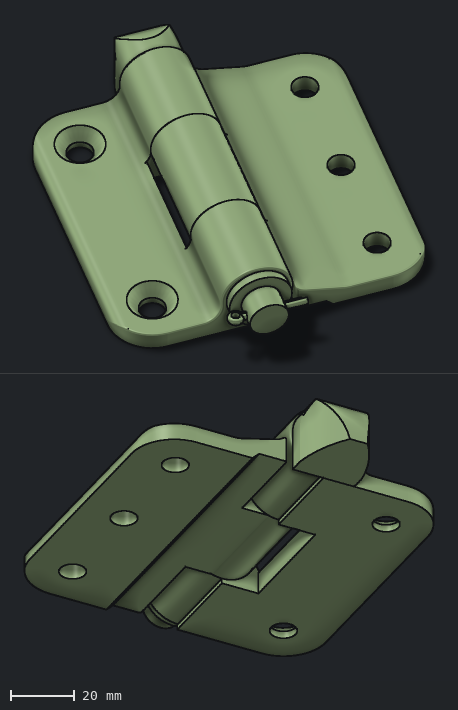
import cadquery as cq
import math

AXIS_Z = 13.6
PIN_RADIUS = 6.5
KNUCKLE_RADIUS = 11.9

LEAF_LENGTH = 99.6
LEAF_HALF = LEAF_LENGTH / 2
LEAF_THICKNESS = 6.3
LEAF_CORNER_RADIUS = 15.0
OUTER_EDGE_RADIUS = 4.0
END_EDGE_RADIUS = 0.8
END_ZONE_LENGTH = 10.8
KNUCKLE_FILLET = 6.0
FRONT_EDGE_Y = -45.0
REAR_EDGE_Y = 60.1
TONGUE_HALF = 19.3
WALL_EDGE_RADIUS = 0.4
CLEARANCE_Y = 13.0

RAMP_ANGLE = math.radians(15)
RAMP_FOOT_Y = 30.0
RAMP_FOOT_RADIUS = 9.5
UNDERSIDE_Z = 2.3
UNDERSIDE_CHAMFER_Y = 25.1

HOLE_RADIUS = 4.3
HOLE_SPACING = 35.0
REAR_HOLE_Y = 44.8
FRONT_HOLE_Y = -30.0
COUNTERSINK_RADIUS = 8.1
COUNTERSINK_ANGLE = 90

HEAD_TIP_X = -73.8
PIN_END_X = HEAD_TIP_X + 135
HEAD_SHOULDER_X = -55.0
HEAD_HALF_WIDTH = 11.0
HEAD_TOP_Z = 24.5
HEAD_TOP_RADIUS = 10.4
HEAD_TIP_HALF_WIDTH = 3.1
HEAD_BOW_X = -62.4
HEAD_BOW_HALF_WIDTH = 9.2
HEAD_BOW_Z = 19.7

WASHER_RADIUS = 10.4
WASHER_THICKNESS = 3.0

COTTER_X = 57.1
COTTER_RADIUS = 1.4
COTTER_EYE_Y = -9.9
COTTER_EYE_INNER_RADIUS = 1.4
COTTER_SLIT = 0.1
COTTER_SHORT_END_Y = 12.2
COTTER_LONG_END_Y = 13.9


def box_between(x0, x1, y0, y1, z0, z1):
    return cq.Workplane("XY").box(x1 - x0, y1 - y0, z1 - z0, centered=False).translate((x0, y0, z0))


def rod_along_x(radius, x0, x1):
    return cq.Workplane("YZ", origin=(x0, 0, AXIS_Z)).circle(radius).extrude(x1 - x0)


def rod_along_y(radius, y0, y1):
    return cq.Workplane("XZ", origin=(COTTER_X, y0, AXIS_Z)).circle(radius).extrude(y0 - y1)



def leaf_profile(y, z):
    """Start a leaf cross-section on the -X end face."""
    return cq.Workplane("YZ", origin=(-LEAF_HALF, 0, 0)).moveTo(y, z)


def toward_axis(y, z):
    """Point where a blend arc centred at (y, z) touches the knuckle."""
    share = KNUCKLE_RADIUS / (KNUCKLE_RADIUS + KNUCKLE_FILLET)
    return y * share, AXIS_Z + (z - AXIS_Z) * share


def round_outline(leaf, edge_y, inner_y, outer_side):
    """Round the leaf's two outer corners in plan, then its top edges along both ends."""
    plan = box_between(-LEAF_HALF, LEAF_HALF, min(edge_y, inner_y), max(edge_y, inner_y), 0, 2 * AXIS_Z)
    leaf = leaf.intersect(plan.faces(outer_side).edges("|Z").fillet(LEAF_CORNER_RADIUS))
    for end in (-1, 1):
        end_region = cq.selectors.BoxSelector(
            (end * (LEAF_HALF - END_ZONE_LENGTH), -LEAF_LENGTH, LEAF_THICKNESS / 2),
            (end * LEAF_LENGTH, LEAF_LENGTH, 2 * AXIS_Z),
        )
        leaf = leaf.edges("not |Z").edges(end_region).fillet(END_EDGE_RADIUS)
    return leaf


def round_wall_top(leaf, x_start, x_end, wall_y):
    """Round the top edge of the wall at wall_y; the edge's middle lies between the two X values."""
    wall_region = cq.selectors.BoxSelector(
        (x_start, wall_y - WALL_EDGE_RADIUS, UNDERSIDE_Z + WALL_EDGE_RADIUS),
        (x_end, wall_y + WALL_EDGE_RADIUS, AXIS_Z),
    )
    return leaf.edges("|X").edges(wall_region).fillet(WALL_EDGE_RADIUS)


def pin_bore():
    return rod_along_x(PIN_RADIUS, -LEAF_HALF, LEAF_HALF)



def make_front_leaf():
    blend_z = LEAF_THICKNESS + KNUCKLE_FILLET
    blend_y = -math.sqrt((KNUCKLE_RADIUS + KNUCKLE_FILLET) ** 2 - (AXIS_Z - blend_z) ** 2)
    profile = (
        leaf_profile(0, 0)
        .lineTo(FRONT_EDGE_Y, 0)
        .lineTo(FRONT_EDGE_Y, LEAF_THICKNESS - OUTER_EDGE_RADIUS)
        .radiusArc((FRONT_EDGE_Y + OUTER_EDGE_RADIUS, LEAF_THICKNESS), OUTER_EDGE_RADIUS)
        .lineTo(blend_y, LEAF_THICKNESS)
        .radiusArc(toward_axis(blend_y, blend_z), -KNUCKLE_FILLET)
        .threePointArc((KNUCKLE_RADIUS, AXIS_Z), (0, AXIS_Z - KNUCKLE_RADIUS))
        .close()
    )
    leaf = round_outline(profile.extrude(LEAF_LENGTH), FRONT_EDGE_Y, KNUCKLE_RADIUS, "<Y")
    notch = box_between(-TONGUE_HALF, TONGUE_HALF, -CLEARANCE_Y, KNUCKLE_RADIUS, 0, 2 * AXIS_Z)
    leaf = round_wall_top(leaf.cut(notch), -TONGUE_HALF / 2, TONGUE_HALF / 2, -CLEARANCE_Y)
    return (
        leaf.cut(pin_bore())
        .copyWorkplane(cq.Workplane("XY", origin=(0, 0, LEAF_THICKNESS)))
        .pushPoints([(-HOLE_SPACING, FRONT_HOLE_Y), (HOLE_SPACING, FRONT_HOLE_Y)])
        .cskHole(2 * HOLE_RADIUS, 2 * COUNTERSINK_RADIUS, COUNTERSINK_ANGLE)
    )



def make_rear_leaf():
    slope = math.tan(RAMP_ANGLE)
    sine = math.sin(RAMP_ANGLE)
    cosine = math.cos(RAMP_ANGLE)

    foot_tangent = RAMP_FOOT_RADIUS * math.tan(RAMP_ANGLE / 2)
    foot_top = (RAMP_FOOT_Y - foot_tangent * cosine, LEAF_THICKNESS + foot_tangent * sine)

    ramp_normal_gap = (AXIS_Z - LEAF_THICKNESS - slope * RAMP_FOOT_Y) * cosine
    across = KNUCKLE_FILLET - ramp_normal_gap
    along = math.sqrt((KNUCKLE_RADIUS + KNUCKLE_FILLET) ** 2 - across**2)
    blend_y = along * cosine + across * sine
    blend_z = AXIS_Z - along * sine + across * cosine
    ramp_top = (blend_y - KNUCKLE_FILLET * sine, blend_z - KNUCKLE_FILLET * cosine)

    underside_y = math.sqrt(KNUCKLE_RADIUS**2 - (AXIS_Z - UNDERSIDE_Z) ** 2)
    profile = (
        leaf_profile(underside_y, UNDERSIDE_Z)
        .lineTo(UNDERSIDE_CHAMFER_Y - UNDERSIDE_Z, UNDERSIDE_Z)
        .lineTo(UNDERSIDE_CHAMFER_Y, 0)
        .lineTo(REAR_EDGE_Y, 0)
        .lineTo(REAR_EDGE_Y, LEAF_THICKNESS - OUTER_EDGE_RADIUS)
        .radiusArc((REAR_EDGE_Y - OUTER_EDGE_RADIUS, LEAF_THICKNESS), -OUTER_EDGE_RADIUS)
        .lineTo(RAMP_FOOT_Y + foot_tangent, LEAF_THICKNESS)
        .radiusArc(foot_top, RAMP_FOOT_RADIUS)
        .lineTo(*ramp_top)
        .radiusArc(toward_axis(blend_y, blend_z), KNUCKLE_FILLET)
        .threePointArc((-KNUCKLE_RADIUS, AXIS_Z), (underside_y, UNDERSIDE_Z))
        .close()
    )
    leaf = profile.extrude(LEAF_LENGTH)
    for x_start in (-LEAF_HALF, TONGUE_HALF):
        x_end = x_start + LEAF_HALF - TONGUE_HALF
        leaf = leaf.cut(box_between(x_start, x_end, -KNUCKLE_RADIUS, CLEARANCE_Y, 0, 2 * AXIS_Z))
    leaf = round_wall_top(leaf, -LEAF_LENGTH, -LEAF_HALF / 2, CLEARANCE_Y)
    leaf = round_wall_top(leaf, LEAF_HALF / 2, LEAF_LENGTH, CLEARANCE_Y)
    leaf = round_outline(leaf, REAR_EDGE_Y, -KNUCKLE_RADIUS, ">Y")
    holes = (
        cq.Workplane("XY")
        .pushPoints([(x, REAR_HOLE_Y) for x in (-HOLE_SPACING, 0, HOLE_SPACING)])
        .circle(HOLE_RADIUS)
        .extrude(LEAF_THICKNESS)
    )
    return leaf.cut(pin_bore()).cut(holes)



def make_pin():
    head = box_between(HEAD_TIP_X, -LEAF_HALF, -HEAD_HALF_WIDTH, HEAD_HALF_WIDTH, 0, HEAD_TOP_Z)
    head = head.faces(">Z").edges("|X").fillet(HEAD_TOP_RADIUS)
    nose_side = (
        cq.Workplane("XZ", origin=(0, HEAD_HALF_WIDTH, 0))
        .moveTo(HEAD_TIP_X, 0)
        .threePointArc((HEAD_BOW_X, HEAD_BOW_Z), (HEAD_SHOULDER_X, HEAD_TOP_Z))
        .lineTo(-LEAF_HALF, HEAD_TOP_Z)
        .lineTo(-LEAF_HALF, 0)
        .close()
        .extrude(2 * HEAD_HALF_WIDTH)
    )
    nose_plan = (
        cq.Workplane("XY")
        .moveTo(HEAD_TIP_X, -HEAD_TIP_HALF_WIDTH)
        .threePointArc((HEAD_BOW_X, -HEAD_BOW_HALF_WIDTH), (HEAD_SHOULDER_X, -HEAD_HALF_WIDTH))
        .lineTo(-LEAF_HALF, -HEAD_HALF_WIDTH)
        .lineTo(-LEAF_HALF, HEAD_HALF_WIDTH)
        .lineTo(HEAD_SHOULDER_X, HEAD_HALF_WIDTH)
        .threePointArc((HEAD_BOW_X, HEAD_BOW_HALF_WIDTH), (HEAD_TIP_X, HEAD_TIP_HALF_WIDTH))
        .close()
        .extrude(HEAD_TOP_Z)
    )
    shaft = rod_along_x(PIN_RADIUS, -LEAF_HALF, PIN_END_X)
    cotter_hole = rod_along_y(COTTER_RADIUS, -PIN_RADIUS, PIN_RADIUS)
    return head.intersect(nose_side).intersect(nose_plan).union(shaft).cut(cotter_hole)



def make_washer():
    disc = rod_along_x(WASHER_RADIUS, LEAF_HALF, LEAF_HALF + WASHER_THICKNESS)
    return disc.cut(rod_along_x(PIN_RADIUS, LEAF_HALF, LEAF_HALF + WASHER_THICKNESS))



def make_cotter():
    eye_hole_edge_y = COTTER_EYE_Y + COTTER_EYE_INNER_RADIUS
    legs = rod_along_y(COTTER_RADIUS, eye_hole_edge_y, COTTER_LONG_END_Y)
    short_leg_gap = box_between(
        COTTER_X - COTTER_RADIUS, COTTER_X, COTTER_SHORT_END_Y, COTTER_LONG_END_Y, 0, 2 * AXIS_Z)
    eye = (
        cq.Workplane("XZ", origin=(COTTER_X, COTTER_EYE_Y, AXIS_Z))
        .moveTo(COTTER_EYE_INNER_RADIUS, -COTTER_RADIUS)
        .threePointArc(
            (COTTER_EYE_INNER_RADIUS + COTTER_RADIUS, 0), (COTTER_EYE_INNER_RADIUS, COTTER_RADIUS))
        .close()
        .revolve(360, (0, 0, 0), (0, 1, 0))
    )
    eye_hole = cq.Workplane("XY", origin=(COTTER_X, COTTER_EYE_Y, 0)).circle(COTTER_EYE_INNER_RADIUS)
    slit = box_between(
        COTTER_X - COTTER_SLIT / 2, COTTER_X + COTTER_SLIT / 2, COTTER_EYE_Y, COTTER_LONG_END_Y, 0, 2 * AXIS_Z)
    return legs.cut(short_leg_gap).union(eye).cut(eye_hole.extrude(2 * AXIS_Z)).cut(slit)


front_leaf = make_front_leaf()
rear_leaf = make_rear_leaf()
pin = make_pin()
washer = make_washer()
cotter = make_cotter()

bodies = [front_leaf, rear_leaf, pin, washer, cotter]
result = cq.Compound.makeCompound([body.solids().val() for body in bodies])